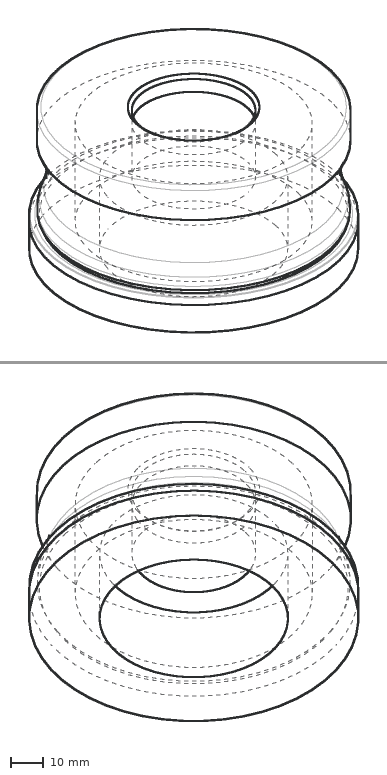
import cadquery as cq

height = 50.8
flange_radius = 50.8
flange_height = 9.9
hub_radius = 36.6
hub_top = 45.0
bore_radius = 19.1
cavity_radius = 29.1
cavity_depth = 25.6

heel_top = 12.6
heel_edge_fillet = 0.2
ledge_inner_radius = 49.1
relief_radius = 47.7
relief_depth = 0.3
lip_radius = 48.3
lip_bottom = 13.7
lip_top = 15.0
taper_bottom_radius = 47.7
taper_bottom = 18.0
taper_top_radius = 46.2
taper_top = 22.4
neck_radius = 45.4
neck_level = 28.2
head_radius = 48.5
head_bottom = 38.9
head_fillet = 1.3
bore_chamfer = 1.2


def cylinder(radius, bottom, top):
    return cq.Workplane("XY").workplane(offset=bottom).circle(radius).extrude(top - bottom)


def make_core():
    flange = cylinder(flange_radius, 0, flange_height)
    hub = cylinder(hub_radius, flange_height, hub_top)
    cavity = cylinder(cavity_radius, 0, cavity_depth)
    bore = cylinder(bore_radius, cavity_depth, hub_top)
    return flange.union(hub).cut(cavity).cut(bore)


def make_cover():
    taper_direction = (taper_top_radius - taper_bottom_radius, taper_top - taper_bottom)
    section = (
        cq.Workplane("XZ")
        .moveTo(hub_radius, flange_height)
        .lineTo(flange_radius, flange_height)
        .lineTo(flange_radius, heel_top - heel_edge_fillet)
        .tangentArcPoint((flange_radius - heel_edge_fillet, heel_top), relative=False)
        .lineTo(ledge_inner_radius, heel_top)
        .lineTo(relief_radius, heel_top - relief_depth)
        .lineTo(lip_radius, lip_bottom)
        .lineTo(lip_radius, lip_top)
        .spline([(taper_bottom_radius, taper_bottom)], tangents=[(0, 1), taper_direction], includeCurrent=True)
        .lineTo(taper_top_radius, taper_top)
        .threePointArc((neck_radius, neck_level), (head_radius, head_bottom))
        .lineTo(head_radius, height - head_fillet)
        .tangentArcPoint((head_radius - head_fillet, height), relative=False)
        .lineTo(bore_radius + bore_chamfer, height)
        .lineTo(bore_radius, height - bore_chamfer)
        .lineTo(bore_radius, hub_top)
        .lineTo(hub_radius, hub_top)
        .close()
    )
    return section.revolve(360, (0, 0, 0), (0, 1, 0))


core = make_core()
cover = make_cover()
result = cq.Compound.makeCompound([core.val(), cover.val()])